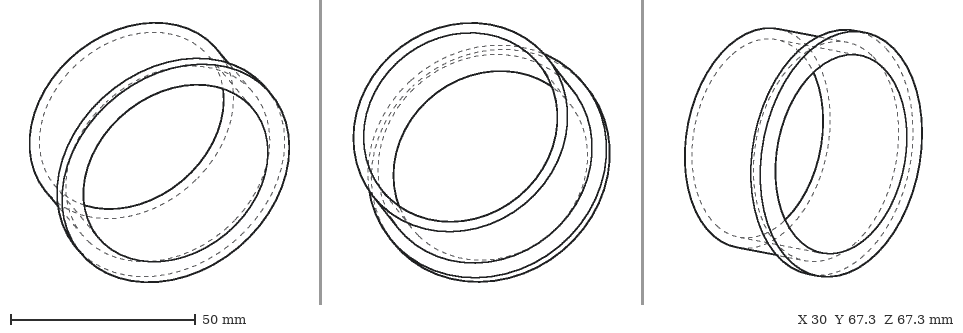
import cadquery as cq

flange_diameter = 67.3
tube_diameter = 60.4
bore_diameter = 54.6
total_length = 30.0
rim_width = 3.35
cone_length = 2.15

flange_radius = flange_diameter / 2
tube_radius = tube_diameter / 2
bore_radius = bore_diameter / 2
rim_start = total_length - rim_width
cone_start = rim_start - cone_length

half_section = (
    cq.Workplane("XY")
    .moveTo(0, bore_radius)
    .lineTo(0, tube_radius)
    .lineTo(cone_start, tube_radius)
    .lineTo(rim_start, flange_radius)
    .lineTo(total_length, flange_radius)
    .lineTo(total_length, bore_radius)
    .close()
)

result = half_section.revolve(360, (0, 0, 0), (1, 0, 0))